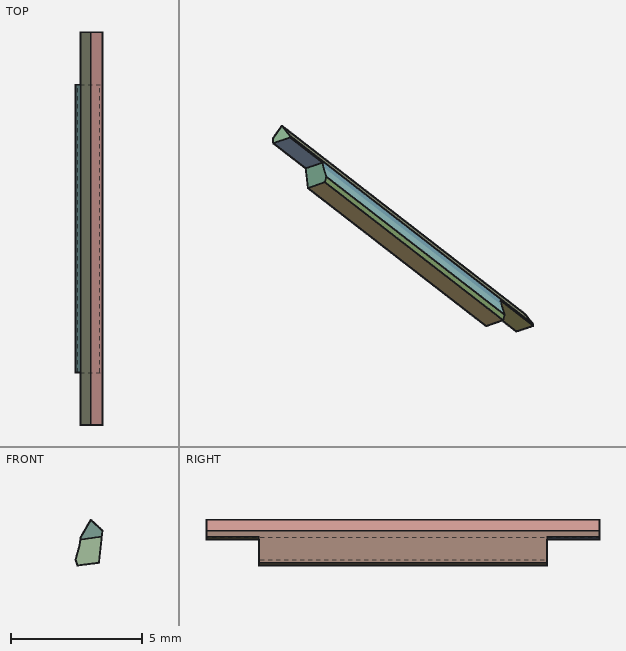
import cadquery as cq

width = 1.04
length = 15.0
height = 1.75

foot_length = 11.0
left = -width / 2
bottom = -height / 2

ridge = (0.58, height)
right_tip = (width, 1.34)
lip_top = (0.2, 1.08)
foot_right = (0.9, 0.1)
foot_heel = (0.08, 0)
foot_left = (0, 0.22)
foot_bend = (0.15, 0.76)

joint_left_height = 0.99
joint_right_height = 1.11


def point_at_height(lower, upper, z):
    """Return the point at height z on the straight side from lower to upper."""
    fraction = (z - lower[1]) / (upper[1] - lower[1])
    return (lower[0] + fraction * (upper[0] - lower[0]), z)


joint_left = point_at_height(foot_bend, lip_top, joint_left_height)
joint_right = point_at_height(foot_right, right_tip, joint_right_height)


def centred_bar(corners, bar_length):
    """Extrude an X-Z outline along Y, centred on the part."""
    placed = [(left + x, bottom + z) for x, z in corners]
    return cq.Workplane("XZ").polyline(placed).close().extrude(bar_length / 2, both=True)


rail = centred_bar([joint_left, joint_right, right_tip, ridge, lip_top], length)

foot = centred_bar(
    [foot_heel, foot_right, joint_right, joint_left, foot_bend, foot_left], foot_length
)

result = rail.union(foot).clean()